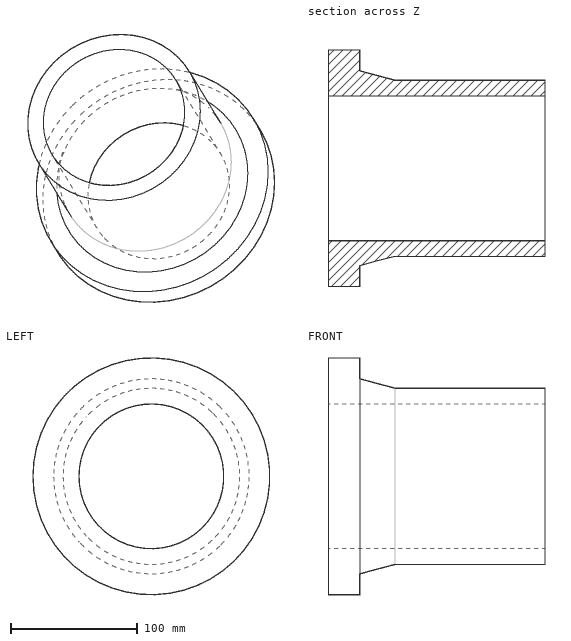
import cadquery as cq

total_length = 172.0
flange_diameter = 188.0
flange_thickness = 25.0
pipe_diameter = 140.0
bore_diameter = 114.6
neck_base_diameter = 155.0
neck_length = 28.0

flange_radius = flange_diameter / 2
pipe_radius = pipe_diameter / 2
bore_radius = bore_diameter / 2
neck_base_radius = neck_base_diameter / 2
neck_end = flange_thickness + neck_length


def revolved_body():
    """Flange, tapered neck, pipe and through bore from one half section (X, radius)."""
    half_section = (
        cq.Workplane("XY")
        .moveTo(0, bore_radius)
        .lineTo(0, flange_radius)
        .lineTo(flange_thickness, flange_radius)
        .lineTo(flange_thickness, neck_base_radius)
        .lineTo(neck_end, pipe_radius)
        .lineTo(total_length, pipe_radius)
        .lineTo(total_length, bore_radius)
        .close()
    )
    return half_section.revolve(360, (0, 0, 0), (1, 0, 0))


result = revolved_body()